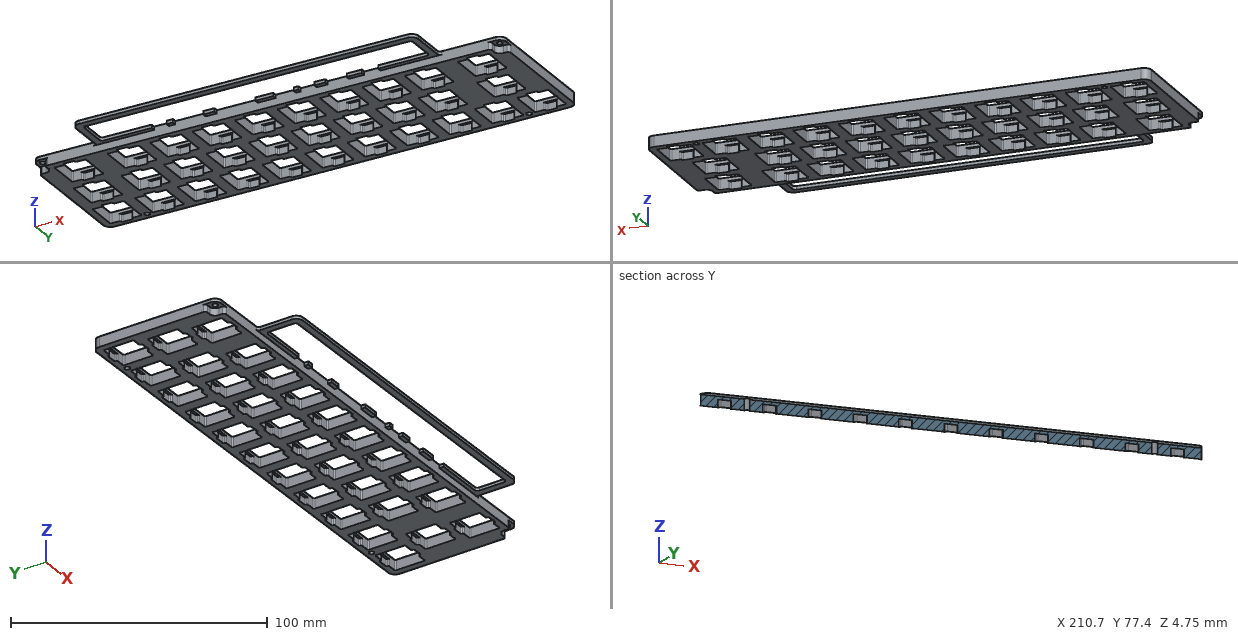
import cadquery as cq
KEY_PITCH = 19.05
COLUMNS = 11
ROWS = 3
SPACEBAR_KEYS = 8

TOTAL_HEIGHT = 4.75
PLATE_THICKNESS = 1.5
BODY_HEIGHT = TOTAL_HEIGHT - PLATE_THICKNESS

BORDER = 0.575
LENGTH = COLUMNS * KEY_PITCH + 2 * BORDER
BODY_WIDTH = ROWS * KEY_PITCH + 2 * BORDER
FRAME_LENGTH = SPACEBAR_KEYS * KEY_PITCH + 2 * BORDER
TOTAL_WIDTH = BODY_WIDTH + KEY_PITCH
OUTER_RADIUS = 3.1
INNER_RADIUS = 1.2

FRAME_RIM = 3.1
LEDGE = 1.95
WINDOW_LENGTH = FRAME_LENGTH - 2 * FRAME_RIM
WINDOW_WIDTH = KEY_PITCH - FRAME_RIM - LEDGE

SWITCH_SIZE = 14.0
SWITCH_RADIUS = 0.5
CLIP_LENGTH = 5.0
CLIP_DEPTH = 1.1
CLIP_RADIUS = 0.5

REAR_HOLE_DIAMETER = 2.28
FRONT_HOLE_DIAMETER = 2.3
REAR_HOLE_INSET = 3.1
FRONT_HOLE_INSET = 2.8
REAR_HOLE_X = (COLUMNS - 2) / 2 * KEY_PITCH

RELIEF_INNER_RADIUS = 2.5
RELIEF_SIZE = FRONT_HOLE_INSET + RELIEF_INNER_RADIUS
RELIEF_EDGE_RADIUS = 1.2

PLATE_Z = BODY_HEIGHT
TOP_Z = TOTAL_HEIGHT
REAR_Y = TOTAL_WIDTH / 2
BODY_FRONT_Y = REAR_Y - BODY_WIDTH
FRAME_FRONT_Y = -TOTAL_WIDTH / 2
GRID_LEFT_X = -COLUMNS * KEY_PITCH / 2
GRID_REAR_Y = REAR_Y - BORDER

ROW_END_KEYS = [(1.0, 1.0), (1.25, 1.75), (1.5, 1.5)]

LEDGE_NOTCHES = [
    (-51.0, -44.3),
    (-41.5, -27.8),
    (-22.8, -4.4),
    (3.5, 12.7),
    (14.9, 22.0),
    (26.9, 36.5),
    (43.4, 50.6),
]


def block(left, right, front, rear, bottom, top):
    """Box given by its six limits."""
    size = (right - left, rear - front, top - bottom)
    return cq.Workplane("XY").box(*size, centered=False).translate((left, front, bottom))


def key_centres():
    """Centre of every switch opening."""
    centres = []
    for row, (left_key, right_key) in enumerate(ROW_END_KEYS):
        single_keys = int(COLUMNS - left_key - right_key)
        start = 0
        for width in [left_key] + [1.0] * single_keys + [right_key]:
            x = GRID_LEFT_X + (start + width / 2) * KEY_PITCH
            y = GRID_REAR_Y - (row + 0.5) * KEY_PITCH
            centres.append((x, y))
            start += width
    return centres


def corner_relief():
    """Cutter that clears the body around the left front screw hole."""
    left = -LENGTH / 2
    front = BODY_FRONT_Y
    inner_x = left + RELIEF_SIZE
    inner_y = front + RELIEF_SIZE
    edge = RELIEF_EDGE_RADIUS
    inner = RELIEF_INNER_RADIUS
    return (
        cq.Workplane("XY")
        .moveTo(left, front)
        .lineTo(left, inner_y + edge)
        .radiusArc((left + edge, inner_y), -edge)
        .lineTo(inner_x - inner, inner_y)
        .radiusArc((inner_x, inner_y - inner), inner)
        .lineTo(inner_x, front + edge)
        .radiusArc((inner_x + edge, front), -edge)
        .close()
        .extrude(BODY_HEIGHT)
    )


def make_body():
    """Deep body under the key grid with both front corners relieved."""
    body = block(-LENGTH / 2, LENGTH / 2, BODY_FRONT_Y, REAR_Y, 0, PLATE_Z)
    body = body.edges("|Z").fillet(OUTER_RADIUS)
    relief = corner_relief()
    return body.cut(relief).cut(relief.mirror("YZ"))


def make_plate():
    """Thin top plate with the spacebar frame, its window and the notched ledge."""
    main = block(-LENGTH / 2, LENGTH / 2, BODY_FRONT_Y, REAR_Y, PLATE_Z, TOP_Z)
    main = main.edges("|Z").fillet(OUTER_RADIUS)
    frame_end = FRAME_LENGTH / 2
    frame = block(-frame_end, frame_end, FRAME_FRONT_Y, GRID_REAR_Y, PLATE_Z, TOP_Z)
    frame = frame.faces("<Y").edges("|Z").fillet(OUTER_RADIUS)
    joint = cq.selectors.BoxSelector(
        (-frame_end - INNER_RADIUS, BODY_FRONT_Y - INNER_RADIUS, PLATE_Z),
        (frame_end + INNER_RADIUS, BODY_FRONT_Y + INNER_RADIUS, TOP_Z),
    )
    plate = main.union(frame).edges("|Z").edges(joint).fillet(INNER_RADIUS)
    window_end = WINDOW_LENGTH / 2
    window_front = FRAME_FRONT_Y + FRAME_RIM
    window_rear = window_front + WINDOW_WIDTH
    window = block(-window_end, window_end, window_front, window_rear, PLATE_Z, TOP_Z)
    plate = plate.cut(window.edges("|Z").fillet(INNER_RADIUS))
    for left, right in LEDGE_NOTCHES:
        plate = plate.cut(block(left, right, window_rear, BODY_FRONT_Y, PLATE_Z, TOP_Z))
    return plate


def switch_openings():
    """Cutters for all switches: square through the plate, widened by two clip recesses in the body."""
    square = cq.Workplane("XY").rect(SWITCH_SIZE, SWITCH_SIZE).extrude(TOTAL_HEIGHT)
    square = square.edges("|Z").fillet(SWITCH_RADIUS)
    body_part = cq.Workplane("XY").rect(SWITCH_SIZE, SWITCH_SIZE).extrude(BODY_HEIGHT)
    clips = cq.Workplane("XY").rect(CLIP_LENGTH, SWITCH_SIZE + 2 * CLIP_DEPTH).extrude(BODY_HEIGHT)
    body_part = body_part.union(clips).edges("|Z").fillet(CLIP_RADIUS)
    opening = square.union(body_part).val()
    return cq.Workplane("XY").pushPoints(key_centres()).eachpoint(lambda place: opening.moved(place))


def screw_holes():
    """Cutters for the two rear and two front screw holes."""
    rear_y = REAR_Y - REAR_HOLE_INSET
    front_x = LENGTH / 2 - FRONT_HOLE_INSET
    front_y = BODY_FRONT_Y + FRONT_HOLE_INSET
    rear = cq.Workplane("XY").pushPoints([(-REAR_HOLE_X, rear_y), (REAR_HOLE_X, rear_y)])
    rear = rear.circle(REAR_HOLE_DIAMETER / 2).extrude(TOTAL_HEIGHT)
    front = cq.Workplane("XY").pushPoints([(-front_x, front_y), (front_x, front_y)])
    front = front.circle(FRONT_HOLE_DIAMETER / 2).extrude(TOTAL_HEIGHT)
    return rear.union(front)


result = make_body().union(make_plate()).cut(switch_openings()).cut(screw_holes())